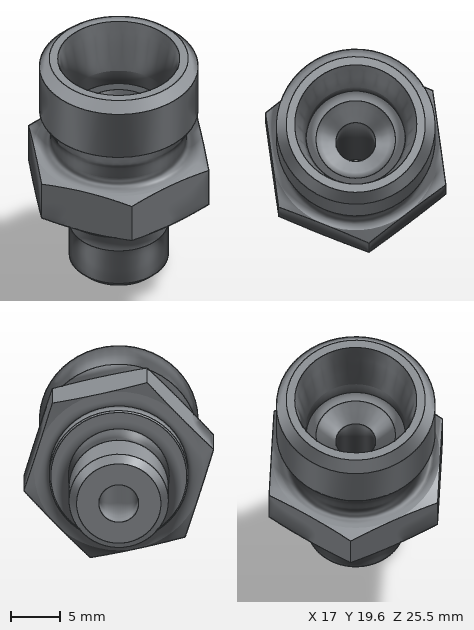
import cadquery as cq
import math

hex_across_flats = 17.0
hex_bottom = 9.5
hex_top = 14.5
hex_sides = 6
hex_half_sector = 180 / hex_sides
hex_chamfer_angle = math.radians(15)
hex_envelope_margin = 1.0

overall_height = 25.5
upper_radius = 16.0 / 2
upper_chamfer = 1.0
upper_neck_radius = 13.7 / 2
upper_neck_fillet = 1.0
upper_neck_cone_start = 17.3

flange_radius = 14.0 / 2
flange_bottom = 8.0
flange_chamfer = 0.15

lower_radius = 10.0 / 2
lower_chamfer_height = 0.8
lower_chamfer_width = 0.75
lower_stud_top = 4.92
lower_neck_radius = 8.4 / 2
lower_neck_fillet = 1.0
undercut_top_angle = math.radians(40)

runout_angle = math.radians(30)

bore_radius = 4.0 / 2
tube_socket_radius = 10.0 / 2
tube_socket_depth = 7.0
socket_mouth_radius = 12.3 / 2
socket_cone_angle = math.radians(12)
funnel_radius = 8.0 / 2
funnel_angle = math.radians(60)


def arc_point(center_r, center_z, radius, angle):
    """Point (r, z) of a neck fillet, at an angle above the inward radial direction."""
    return (center_r - radius * math.cos(angle), center_z + radius * math.sin(angle))


def make_upper_stud():
    """Chamfered cylinder with a filleted neck that flares onto the hexagon."""
    fillet = upper_neck_fillet
    neck_center_r = upper_neck_radius + fillet
    upper_center_z = upper_neck_cone_start - fillet * math.sin(runout_angle)
    lower_center_z = hex_top + fillet
    flare_middle = arc_point(neck_center_r, lower_center_z, fillet, -math.pi / 4)
    cone_foot = arc_point(neck_center_r, upper_center_z, fillet, runout_angle)
    cone_top = cone_foot[1] + (upper_radius - cone_foot[0]) / math.tan(runout_angle)
    return (
        cq.Workplane("XZ")
        .moveTo(0, hex_top)
        .lineTo(neck_center_r, hex_top)
        .threePointArc(flare_middle, (upper_neck_radius, lower_center_z))
        .lineTo(upper_neck_radius, upper_center_z)
        .threePointArc(
            arc_point(neck_center_r, upper_center_z, fillet, runout_angle / 2),
            cone_foot,
        )
        .lineTo(upper_radius, cone_top)
        .lineTo(upper_radius, overall_height - upper_chamfer)
        .lineTo(upper_radius - upper_chamfer, overall_height)
        .lineTo(0, overall_height)
        .close()
        .revolve(360, (0, 0, 0), (0, 1, 0))
    )


def make_hexagon():
    """Hexagonal prism with corners along Y, turned to a cone at both ends."""
    height = hex_top - hex_bottom
    corner_diameter = hex_across_flats / math.cos(math.radians(hex_half_sector))
    flat_radius = hex_across_flats / 2
    prism = (
        cq.Workplane("XY", origin=(0, 0, hex_bottom))
        .polygon(hex_sides, corner_diameter)
        .extrude(height)
        .rotate((0, 0, 0), (0, 0, 1), hex_half_sector)
    )
    envelope_radius = corner_diameter / 2 + hex_envelope_margin
    drop = (envelope_radius - flat_radius) * math.tan(hex_chamfer_angle)
    envelope = (
        cq.Workplane("XZ")
        .moveTo(0, hex_bottom)
        .lineTo(flat_radius, hex_bottom)
        .lineTo(envelope_radius, hex_bottom + drop)
        .lineTo(envelope_radius, hex_top - drop)
        .lineTo(flat_radius, hex_top)
        .lineTo(0, hex_top)
        .close()
        .revolve(360, (0, 0, 0), (0, 1, 0))
    )
    return prism.intersect(envelope)


def make_flange():
    """Sealing flange with a small chamfer on its lower edge."""
    return (
        cq.Workplane("XY", origin=(0, 0, flange_bottom))
        .circle(flange_radius)
        .extrude(hex_bottom - flange_bottom)
        .faces("<Z")
        .chamfer(flange_chamfer)
    )


def make_lower_stud():
    """Chamfered cylinder with a rounded undercut below the flange."""
    fillet = lower_neck_fillet
    center_r = lower_neck_radius + fillet
    cone_height = (
        lower_radius - center_r + fillet * math.cos(runout_angle)
    ) / math.tan(runout_angle)
    center_z = lower_stud_top + cone_height + fillet * math.sin(runout_angle)
    arc_start = arc_point(center_r, center_z, fillet, -runout_angle)
    arc_end = arc_point(center_r, center_z, fillet, undercut_top_angle)
    rim_radius = arc_end[0] + (flange_bottom - arc_end[1]) * math.tan(undercut_top_angle)
    return (
        cq.Workplane("XZ")
        .lineTo(lower_radius - lower_chamfer_width, 0)
        .lineTo(lower_radius, lower_chamfer_height)
        .lineTo(lower_radius, lower_stud_top)
        .lineTo(*arc_start)
        .threePointArc((lower_neck_radius, center_z), arc_end)
        .lineTo(rim_radius, flange_bottom)
        .lineTo(0, flange_bottom)
        .close()
        .revolve(360, (0, 0, 0), (0, 1, 0))
    )


def make_bore():
    """Through bore with a funnel, a tube socket and a conical mouth."""
    socket_floor = overall_height - tube_socket_depth
    mouth_depth = (socket_mouth_radius - tube_socket_radius) / math.tan(socket_cone_angle)
    funnel_depth = (funnel_radius - bore_radius) / math.tan(funnel_angle)
    return (
        cq.Workplane("XZ")
        .lineTo(bore_radius, 0)
        .lineTo(bore_radius, socket_floor - funnel_depth)
        .lineTo(funnel_radius, socket_floor)
        .lineTo(tube_socket_radius, socket_floor)
        .lineTo(tube_socket_radius, overall_height - mouth_depth)
        .lineTo(socket_mouth_radius, overall_height)
        .lineTo(0, overall_height)
        .close()
        .revolve(360, (0, 0, 0), (0, 1, 0))
    )


body = make_lower_stud().union(make_flange()).union(make_hexagon()).union(make_upper_stud())
result = body.cut(make_bore())